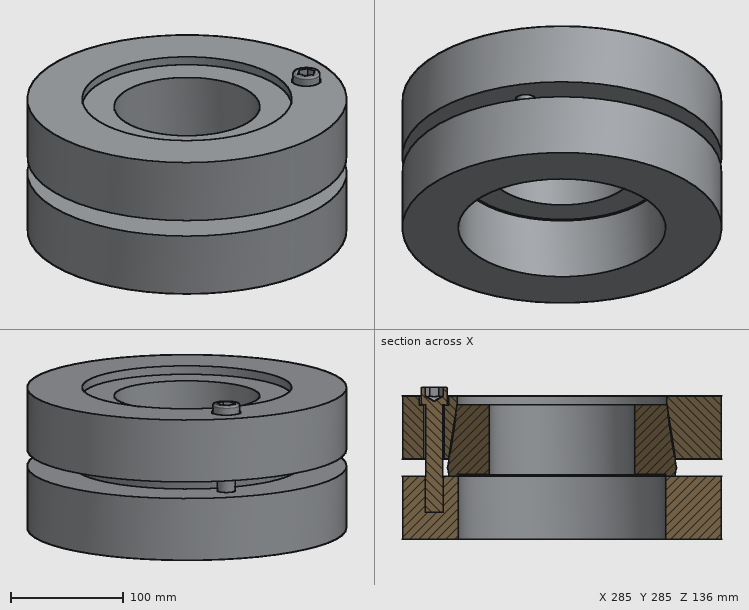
import cadquery as cq
import math

disc_diameter = 285.0
disc_thickness = 56.5
total_thickness = 128.0
upper_disc_base = total_thickness - disc_thickness
lower_bore_diameter = 185.0
upper_bore_diameter = 187.0

ring_bore_diameter = 130.0
ring_rim_diameter = 204.5
recess_depth = 7.7
relief_depth = 1.5
ring_top = total_thickness - recess_depth
ring_rim_height = total_thickness / 2
ring_base = disc_thickness
taper_slope = (ring_rim_diameter - upper_bore_diameter) / 2 / (ring_top - ring_rim_height)
ring_base_radius = ring_rim_diameter / 2 - taper_slope * (ring_rim_height - ring_base)

screw_y = 114.0
screw_top = 136.0
shank_diameter = 16.0
head_diameter = 24.0
head_height = shank_diameter
head_base = screw_top - head_height
head_edge_radius = 1.7
socket_across_flats = 14.0
socket_depth = 8.0
socket_tip_angle = 120.0
counterbore_diameter = 26.0
clearance_diameter = 18.0
screw_engagement = 32.0
shank_base = disc_thickness - screw_engagement


def cylinder(diameter, bottom, top, y=0.0):
    """Vertical cylinder between two heights."""
    return cq.Workplane("XY", origin=(0, y, bottom)).circle(diameter / 2).extrude(top - bottom)


def make_ring_blank():
    """Solid of revolution with tapers above and below its rim."""
    outline = [
        (0, ring_base),
        (ring_base_radius, ring_base),
        (ring_rim_diameter / 2, ring_rim_height),
        (upper_bore_diameter / 2, ring_top),
        (0, ring_top),
    ]
    return cq.Workplane("XZ").polyline(outline).close().revolve(360, (0, 0), (0, 1))


def make_ring():
    """Ring with a through bore and a shallow relief that continues the lower disc bore."""
    ring = make_ring_blank().cut(cylinder(ring_bore_diameter, ring_base, ring_top))
    return ring.cut(cylinder(lower_bore_diameter, ring_base, ring_base + relief_depth))


def make_lower_disc():
    """Disc that carries the ring and receives the screw shank."""
    disc = cylinder(disc_diameter, 0, disc_thickness)
    disc = disc.cut(cylinder(lower_bore_diameter, 0, disc_thickness))
    return disc.cut(cylinder(shank_diameter, shank_base, disc_thickness, screw_y))


def make_upper_disc():
    """Disc with a tapered seat for the ring and a counterbored screw hole."""
    disc = cylinder(disc_diameter, upper_disc_base, total_thickness)
    disc = disc.cut(cylinder(upper_bore_diameter, upper_disc_base, total_thickness))
    disc = disc.cut(make_ring_blank())
    disc = disc.cut(cylinder(clearance_diameter, upper_disc_base, head_base, screw_y))
    return disc.cut(cylinder(counterbore_diameter, head_base, total_thickness, screw_y))


def make_socket():
    """Hexagonal socket volume, flats facing X, ending in a conical floor."""
    corner_radius = socket_across_flats / 2 / math.cos(math.pi / 6)
    tip_height = corner_radius / math.tan(math.radians(socket_tip_angle / 2))
    tip = screw_top - socket_depth - tip_height
    hexagon = (
        cq.Workplane("XY", origin=(0, screw_y, tip))
        .transformed(rotate=(0, 0, 90))
        .polygon(6, 2 * corner_radius)
        .extrude(screw_top - tip)
    )
    pointed_outline = [
        (0, tip),
        (corner_radius, screw_top - socket_depth),
        (corner_radius, screw_top),
        (0, screw_top),
    ]
    pointed_cylinder = (
        cq.Workplane("XZ", origin=(0, screw_y, 0))
        .polyline(pointed_outline)
        .close()
        .revolve(360, (0, 0), (0, 1))
    )
    return hexagon.intersect(pointed_cylinder)


def make_screw():
    """Cap screw with a rounded head edge and a hexagonal socket."""
    head = cylinder(head_diameter, head_base, screw_top, screw_y)
    head = head.faces(">Z").edges().fillet(head_edge_radius)
    shank = cylinder(shank_diameter, shank_base, head_base, screw_y)
    return head.union(shank).cut(make_socket())


lower_disc = make_lower_disc()
upper_disc = make_upper_disc()
ring = make_ring()
screw = make_screw()

result = cq.Compound.makeCompound([lower_disc.val(), upper_disc.val(), ring.val(), screw.val()])